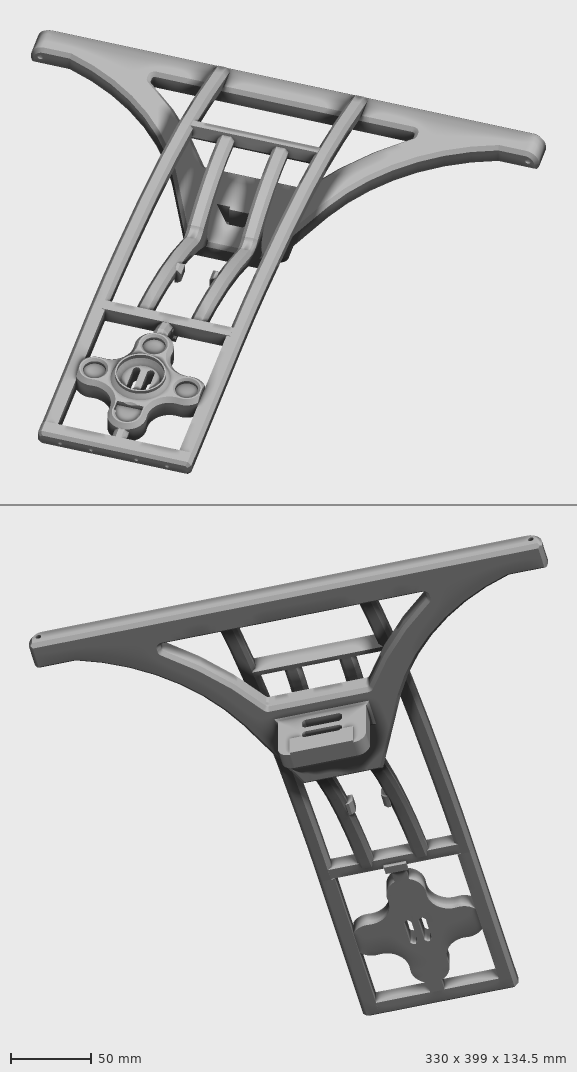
import cadquery as cq
import math


LENGTH = 399.0
SPAN = 330.0
BEAM = 10.5
EDGE = 2.5

PLATE_THICK = 14.5
ARM_DEPTH = 20.0
ARM_STRAIGHT_X = 139.3
CURVE_MID = (83.5, -52.3)
CURVE_END = (50.5, -95.8)
NOSE_HALF = 25.5
NOSE_Y = -149.5
TIP_ROUND = 8.8
TIP_HOLE_DIA = 3.5
TIP_HOLE_X = 158.5
TIP_HOLE_Z = 7.5
WINDOW_HALF = 85.5
WINDOW_FRONT_HALF = 32.7
WINDOW_FRONT_Y = -85.0
WINDOW_SIDE = 5.0
WINDOW_CURVE_MID = (58.5, -50.3)
WINDOW_CORNER = 2.0

STRAP_REAR_Y = -115.0
STRAP_FRONT_Y = -129.5
STRAP_REAR_HALF = 16.0
STRAP_FRONT_HALF = 5.0
LIP_WIDTH = 14.5
LIP_DEPTH = 2.5

TAB_HALF = 28.5
TAB_REAR_Y = -95.0
TAB_THICK = 16.0
TAB_BOTTOM = -37.5
TAB_CORNER = 8.0
TAB_FRONT_EDGE = 5.0
TAB_ROOT = 2.0
TAB_PAD_TOP = -23.0
TAB_PAD_DEPTH = 1.5
TAB_SLOT_LENGTH = 25.5
TAB_SLOT_HEIGHT = 7.5
SLOT_MOUTH = 1.5
TAB_SLOT_LEVELS = (-9.0, -20.8)

RAIL_OUTER_X = 50.0
RAIL_X = RAIL_OUTER_X - BEAM / 2
RAIL_INNER_X = RAIL_OUTER_X - BEAM
RAIL_REAR = (-6.0, 12.0)
RAIL_CURVE = ((-80.0, 42.3), (-157.5, 63.0), (-223.5, 74.0))
RAIL_KNEE = (-283.5, 79.5)
RAIL_FRONT = (-LENGTH, 83.5)
FRAME_CORNER = 2.0
MID_BAR_REAR_Y = -275.5
MID_BAR_DEPTH = 7.5
REAR_BAR_CENTRE = (-85.0, 43.5)
REAR_BAR_DEPTH = 6.8
REAR_BAR_TILT = 18.0
BAR_HOLE_DIA = 2.47
BAR_HOLE_DEPTH = 4.0
BAR_HOLE_X = (14.8, 34.7)

STRUT_X = 17.5
CLIP_REAR_Y = -208.7
CLIP_BOTTOM = 49.5
CLIP_LENGTH = 8.8
CLIP_HEIGHT = 11.0
CLIP_REACH = 3.0
CLIP_EDGE = 2.5

MOUNT_Y = -339.0
MOUNT_BOTTOM = 78.0
MOUNT_TOP = 91.8
LOBE_OFFSET = 30.0
LOBE_RADIUS = 12.5
NECK_RADIUS = 14.5
MOUNT_EDGE = 2.8
POCKET_DIA = 14.5
POCKET_DEPTH = 3.5
POCKET_EDGE = 1.4
HUB_TOP = 97.0
HUB_DIA = 32.0
HUB_BASE_DIA = 37.5
HUB_STRAIGHT = 2.5
BORE_DIA = 30.0
BORE_STRAIGHT = 2.8
BORE_FLOOR_DIA = 24.0
BORE_FLOOR = 90.0
MOUNT_SLOT_LENGTH = 19.0
MOUNT_SLOT_WIDTH = 4.8
MOUNT_SLOT_X = 4.6
SLOT_CORNER = 1.5
SPINE_WIDTH = 9.0
SPINE_TOP = 89.0
SPINE_RAMP_Y = -293.0
SPINE_EDGE = 2.8
STOP_WIDTH = 14.5
STOP_DEPTH = 5.0
STOP_NECK = 10.5
STOP_BOTTOM = 71.5
STOP_TOP = 74.2


def box(x_range, y_range, z_range):
    """Box between the given limits."""
    (x0, x1), (y0, y1), (z0, z1) = x_range, y_range, z_range
    return cq.Workplane("XY").box(x1 - x0, y1 - y0, z1 - z0, centered=False).translate((x0, y0, z0))


def both_sides(shape):
    """The shape together with its mirror image across X = 0."""
    return shape.union(shape.mirror("YZ"))


def base_plate():
    half = SPAN / 2
    plate = (
        cq.Workplane("XY")
        .moveTo(0, NOSE_Y)
        .lineTo(NOSE_HALF, NOSE_Y)
        .lineTo(*CURVE_END)
        .threePointArc(CURVE_MID, (ARM_STRAIGHT_X, -ARM_DEPTH))
        .lineTo(half, -ARM_DEPTH)
        .lineTo(half, 0)
        .lineTo(0, 0)
        .mirrorY()
        .extrude(PLATE_THICK)
    )
    for side in (">X", "<X"):
        plate = plate.faces(side).edges(">Z").fillet(TIP_ROUND)

    side_y = -ARM_DEPTH - WINDOW_SIDE
    window = (
        cq.Workplane("XY")
        .moveTo(0, -ARM_DEPTH)
        .lineTo(WINDOW_HALF, -ARM_DEPTH)
        .lineTo(WINDOW_HALF, side_y)
        .threePointArc(WINDOW_CURVE_MID, (WINDOW_FRONT_HALF, WINDOW_FRONT_Y))
        .lineTo(0, WINDOW_FRONT_Y)
        .mirrorY()
        .extrude(PLATE_THICK)
        .edges("|Z")
        .fillet(WINDOW_CORNER)
    )
    plate = plate.cut(window)
    plate = plate.faces("<Z").edges().chamfer(EDGE)
    plate = plate.faces(">Z").edges("not(#X and |Y)").chamfer(EDGE)

    strap_opening = (
        cq.Workplane("XY")
        .polyline([
            (-STRAP_REAR_HALF, STRAP_REAR_Y), (STRAP_REAR_HALF, STRAP_REAR_Y),
            (STRAP_FRONT_HALF, STRAP_FRONT_Y), (-STRAP_FRONT_HALF, STRAP_FRONT_Y),
        ])
        .close()
        .extrude(PLATE_THICK)
    )
    lip = box((-LIP_WIDTH / 2, LIP_WIDTH / 2), (STRAP_REAR_Y - LIP_DEPTH, STRAP_REAR_Y), (0, PLATE_THICK))
    tip_holes = (
        cq.Workplane("XZ")
        .pushPoints([(-TIP_HOLE_X, TIP_HOLE_Z), (TIP_HOLE_X, TIP_HOLE_Z)])
        .circle(TIP_HOLE_DIA / 2)
        .extrude(ARM_DEPTH)
    )
    return plate.cut(strap_opening).union(lip).cut(tip_holes)


def hanging_tab():
    front_y = TAB_REAR_Y - TAB_THICK
    tab = box((-TAB_HALF, TAB_HALF), (front_y, TAB_REAR_Y), (TAB_BOTTOM, EDGE))
    tab = tab.edges("|Y and <Z").fillet(TAB_CORNER)
    tab = tab.faces("<Y").edges("not >Z").chamfer(TAB_FRONT_EDGE)
    root = (
        box((-TAB_HALF - TAB_ROOT, TAB_HALF + TAB_ROOT),
            (front_y - TAB_ROOT, TAB_REAR_Y + TAB_ROOT / 2), (-TAB_ROOT, EDGE))
        .faces("<Z").edges().chamfer(TAB_ROOT * 0.8)
    )
    pad_half = TAB_HALF - TAB_CORNER
    pad = box(
        (-pad_half, pad_half),
        (TAB_REAR_Y - EDGE, TAB_REAR_Y + TAB_PAD_DEPTH),
        (TAB_BOTTOM, TAB_PAD_TOP),
    )
    tab = tab.union(root).union(pad)
    for level in TAB_SLOT_LEVELS:
        slot = box(
            (-TAB_SLOT_LENGTH / 2, TAB_SLOT_LENGTH / 2),
            (front_y - 4, TAB_REAR_Y + 4),
            (level - TAB_SLOT_HEIGHT / 2, level + TAB_SLOT_HEIGHT / 2),
        )
        mouth = (
            cq.Workplane("XZ", origin=(0, front_y, level))
            .rect(TAB_SLOT_LENGTH + 2 * SLOT_MOUTH, TAB_SLOT_HEIGHT + 2 * SLOT_MOUTH)
            .extrude(-SLOT_MOUTH, taper=45)
        )
        tab = tab.cut(slot.edges("|Y").chamfer(SLOT_CORNER)).cut(mouth)
    return tab


def front_slope():
    """Direction of the straight front stretch of the rails in Y-Z."""
    return (RAIL_FRONT[0] - RAIL_KNEE[0], RAIL_FRONT[1] - RAIL_KNEE[1])


def rail_section(inner_edge):
    """Rail cross-section on a plane facing along Y; local x runs along X, local y along Z."""
    half = BEAM / 2
    points = [(half - EDGE, -half), (half, -half + EDGE), (half, half - EDGE), (half - EDGE, half)]
    if inner_edge:
        points += [(-half + EDGE, half), (-half, half - EDGE), (-half, -half + EDGE), (-half + EDGE, -half)]
    else:
        points += [(-half, half), (-half, -half)]
    return points


def sweep_rail(path, start, direction, inner_edge):
    normal = (0, direction[0], direction[1])
    plane = cq.Plane(origin=(RAIL_X, start[0], start[1]), xDir=(1, 0, 0), normal=normal)
    return cq.Workplane(plane).polyline(rail_section(inner_edge)).close().sweep(path)


def side_rail():
    rear_slope = (-1.0, 0.46)

    def point(p):
        return cq.Vector(RAIL_X, p[0], p[1])

    curve = cq.Edge.makeSpline(
        [point(p) for p in (RAIL_REAR, *RAIL_CURVE, RAIL_KNEE)],
        tangents=[cq.Vector(0, *rear_slope), cq.Vector(0, *front_slope())],
    )
    straight = cq.Edge.makeLine(point(RAIL_KNEE), point(RAIL_FRONT))
    rear = sweep_rail(cq.Wire.assembleEdges([curve]), RAIL_REAR, rear_slope, True)
    front = sweep_rail(cq.Wire.assembleEdges([straight]), RAIL_KNEE, front_slope(), False)
    rail = rear.union(front)
    above_plate = box((0, SPAN), (-LENGTH + BEAM / 2, 0), (PLATE_THICK / 2, HUB_TOP))
    return rail.intersect(above_plate)


def tilted_bar(depth, tilt, centre, front_edge=0):
    """Bar between the rails, tilted up toward the front, with an optional chamfer below its front face."""
    bar = cq.Workplane("XY").box(2 * (RAIL_INNER_X + EDGE), depth, BEAM)
    if front_edge:
        bar = bar.edges("<Z and <Y").chamfer(front_edge)
    return bar.rotate((0, 0, 0), (1, 0, 0), -tilt).translate((0, *centre))


def cross_bars():
    half = BEAM / 2
    front_bar = box(
        (-RAIL_OUTER_X, RAIL_OUTER_X), (-LENGTH, -LENGTH + BEAM),
        (RAIL_FRONT[1] - half, RAIL_FRONT[1] + half + 0.5),
    )
    front_bar = front_bar.edges("|Y").chamfer(EDGE)
    front_bar = front_bar.faces("<Y").edges().chamfer(FRAME_CORNER)
    holes = (
        cq.Workplane("XZ", origin=(0, -LENGTH, RAIL_FRONT[1]))
        .pushPoints([(side * x, 0) for x in BAR_HOLE_X for side in (-1, 1)])
        .circle(BAR_HOLE_DIA / 2)
        .extrude(-BAR_HOLE_DEPTH)
    )
    rise = front_slope()[1] / front_slope()[0]
    mid_y = MID_BAR_REAR_Y - MID_BAR_DEPTH / 2
    mid_centre = (mid_y, RAIL_KNEE[1] + (mid_y - RAIL_KNEE[0]) * rise)
    mid_bar = tilted_bar(MID_BAR_DEPTH, -math.degrees(math.atan(rise)), mid_centre)
    rear_bar = tilted_bar(REAR_BAR_DEPTH, REAR_BAR_TILT, REAR_BAR_CENTRE, front_edge=EDGE)
    return front_bar.cut(holes), mid_bar, rear_bar


def strut():
    """Forked strut: a rear arch and a long front limb meeting above the plate nose."""
    body = (
        cq.Workplane("YZ", origin=(STRUT_X - BEAM / 2, 0, 0))
        .moveTo(-85.8, 47.5)
        .lineTo(-85.8, 39.0)
        .threePointArc((-112.5, 39.5), (-137.0, 33.0))
        .tangentArcPoint((-146.0, 21.5), relative=False)
        .tangentArcPoint((-140.5, 13.0), relative=False)
        .lineTo(-140.5, 8.0)
        .lineTo(-151.2, 8.0)
        .lineTo(-151.2, 12.0)
        .threePointArc((-197.5, 42.5), (-279.5, 73.5))
        .lineTo(-279.5, 83.0)
        .threePointArc((-218.5, 63.5), (-167.5, 37.0))
        .threePointArc((-162.5, 35.5), (-157.2, 37.5))
        .threePointArc((-125.0, 46.5), (-85.8, 47.5))
        .close()
        .extrude(BEAM)
    )
    body = body.faces("<X or >X").edges().chamfer(EDGE)
    clip_x = STRUT_X - BEAM / 2 - CLIP_REACH
    clip = (
        box((clip_x, clip_x + CLIP_REACH + EDGE / 2), (-CLIP_LENGTH, 0), (0, CLIP_HEIGHT))
        .edges("|Y and <X or (>Y and >Z)")
        .chamfer(CLIP_EDGE)
        .translate((0, CLIP_REAR_Y, CLIP_BOTTOM))
    )
    return body.union(clip)


def mount_outline():
    """Four round lobes joined by concave arcs that are tangent to them."""
    reach = LOBE_RADIUS + NECK_RADIUS
    neck = (LOBE_OFFSET + math.sqrt(2 * reach ** 2 - LOBE_OFFSET ** 2)) / 2
    touch = LOBE_RADIUS / reach
    start = (LOBE_OFFSET + (neck - LOBE_OFFSET) * touch, neck * touch)
    waist = neck - NECK_RADIUS / math.sqrt(2)

    def turned(p, quarter):
        for _ in range(quarter):
            p = (-p[1], p[0])
        return p

    outline = cq.Workplane("XY", origin=(0, MOUNT_Y, MOUNT_BOTTOM)).moveTo(start[0], -start[1])
    for quarter in range(4):
        outline = outline.threePointArc(
            turned((LOBE_OFFSET + LOBE_RADIUS, 0), quarter), turned(start, quarter))
        outline = outline.threePointArc(
            turned((waist, waist), quarter), turned((start[1], start[0]), quarter))
    return outline.close()


def lobe_pocket(x, y):
    return (
        cq.Workplane("XY", origin=(x, y, MOUNT_TOP - POCKET_DEPTH))
        .circle(POCKET_DIA / 2)
        .extrude(POCKET_DEPTH)
        .faces(">Z").workplane(offset=-POCKET_EDGE)
        .circle(POCKET_DIA / 2)
        .workplane(offset=POCKET_EDGE)
        .circle(POCKET_DIA / 2 + POCKET_EDGE)
        .loft()
    )


def mount():
    body = mount_outline().extrude(MOUNT_TOP - MOUNT_BOTTOM).faces(">Z").edges().chamfer(MOUNT_EDGE)
    hub = (
        cq.Workplane("XZ")
        .polyline([
            (0, MOUNT_BOTTOM), (HUB_BASE_DIA / 2, MOUNT_BOTTOM), (HUB_BASE_DIA / 2, MOUNT_TOP),
            (HUB_DIA / 2, HUB_TOP - HUB_STRAIGHT), (HUB_DIA / 2, HUB_TOP), (BORE_DIA / 2, HUB_TOP),
            (BORE_DIA / 2, HUB_TOP - BORE_STRAIGHT),
            (BORE_FLOOR_DIA / 2, BORE_FLOOR), (0, BORE_FLOOR),
        ])
        .close()
        .revolve(360, (0, 0), (0, 1))
        .translate((0, MOUNT_Y, 0))
    )
    bore_room = (
        cq.Workplane("XY", origin=(0, MOUNT_Y, BORE_FLOOR))
        .circle(HUB_BASE_DIA / 2)
        .extrude(HUB_TOP - BORE_FLOOR)
    )
    body = body.union(spine()).cut(bore_room).union(hub)

    for x, y in ((LOBE_OFFSET, 0), (-LOBE_OFFSET, 0), (0, LOBE_OFFSET), (0, -LOBE_OFFSET)):
        body = body.cut(lobe_pocket(x, MOUNT_Y + y))
    half = POCKET_DIA / 2 + POCKET_EDGE
    front_y = MOUNT_Y - LOBE_OFFSET
    square_end = box(
        (-half, half),
        (front_y, front_y + POCKET_DIA / 2),
        (MOUNT_TOP - POCKET_DEPTH, MOUNT_TOP),
    )
    body = body.cut(square_end)

    for side in (-1, 1):
        slot = (
            cq.Workplane("XY")
            .box(MOUNT_SLOT_WIDTH, MOUNT_SLOT_LENGTH, HUB_TOP)
            .edges("|Z")
            .chamfer(SLOT_CORNER)
            .translate((side * MOUNT_SLOT_X, MOUNT_Y, MOUNT_TOP))
        )
        body = body.cut(slot)
    return body.intersect(box((-RAIL_INNER_X, RAIL_INNER_X), (-LENGTH, 0), (0, HUB_TOP)))


def spine():
    """Bar along the centre line that carries the mount, with a stop below its rear end."""
    rear_y = MID_BAR_REAR_Y - MID_BAR_DEPTH
    front_y = -LENGTH + BEAM
    bar = (
        cq.Workplane("YZ", origin=(-SPINE_WIDTH / 2, 0, 0))
        .polyline([
            (rear_y, MOUNT_BOTTOM), (front_y, MOUNT_BOTTOM), (front_y, SPINE_TOP),
            (SPINE_RAMP_Y, SPINE_TOP), (rear_y, RAIL_KNEE[1] + BEAM / 2),
        ])
        .close()
        .extrude(SPINE_WIDTH)
        .faces("<X or >X").edges("not(<Z or |Z)")
        .chamfer(SPINE_EDGE)
    )
    stop_y = (rear_y - STOP_DEPTH / 2, rear_y + STOP_DEPTH / 2)
    stop = box((-STOP_WIDTH / 2, STOP_WIDTH / 2), stop_y, (STOP_BOTTOM, STOP_TOP))
    neck = box((-STOP_NECK / 2, STOP_NECK / 2), stop_y, (STOP_TOP, MOUNT_BOTTOM + EDGE))
    return bar.union(neck).union(stop)


result = base_plate().union(hanging_tab())
result = result.union(both_sides(side_rail()))
for bar in cross_bars():
    result = result.union(bar)
result = result.union(both_sides(strut())).union(mount())